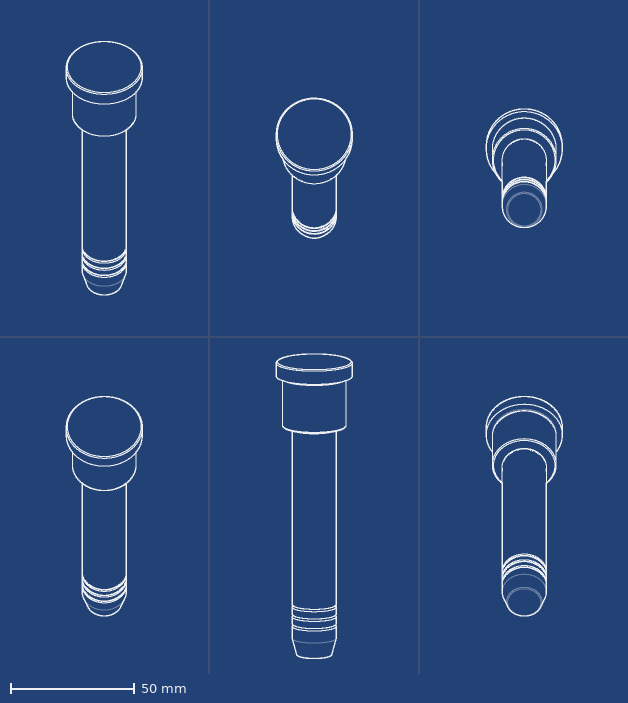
import cadquery as cq
import math

total_length = 122.0
head_diameter = 31.0
head_height = 6.0
collar_diameter = 26.0
collar_length = 21.0
shank_diameter = 18.0

head_chamfer = 0.5
collar_chamfer = 0.5
tip_fillet = 0.5

shank_relief_width = 1.0
shank_relief_depth = 0.5

groove_radius = 0.5
groove_count = 3
groove_pitch = 4.0
lowest_groove_above_taper = 5.5

taper_length = 7.0
taper_angle = 15.0

tip_z = head_height - total_length
taper_top_z = tip_z + taper_length
collar_bottom_z = -collar_length
tip_diameter = shank_diameter - 2 * taper_length * math.tan(math.radians(taper_angle))


def cylinder(diameter, bottom_z, top_z):
    """Solid cylinder on the Z axis between two heights."""
    return cq.Workplane("XY").workplane(offset=bottom_z).circle(diameter / 2).extrude(top_z - bottom_z)


def round_groove(diameter, center_z):
    """Torus that cuts a half-round groove into a cylinder of the given diameter."""
    section = cq.Workplane("XZ").center(diameter / 2, center_z).circle(groove_radius)
    axis_start = (-diameter / 2, 0)
    axis_end = (-diameter / 2, 1)
    return section.revolve(360, axis_start, axis_end)


def make_head():
    return cylinder(head_diameter, 0, head_height).faces(">Z").edges().chamfer(head_chamfer)


def make_collar():
    collar = cylinder(collar_diameter, collar_bottom_z, 0)
    collar = collar.faces("<Z").edges().chamfer(collar_chamfer)
    return collar.cut(round_groove(collar_diameter, -groove_radius))


def make_shank():
    relief_bottom_z = collar_bottom_z - shank_relief_width
    shank = cylinder(shank_diameter, taper_top_z, relief_bottom_z)
    for index in range(groove_count):
        groove_z = taper_top_z + lowest_groove_above_taper + index * groove_pitch
        shank = shank.cut(round_groove(shank_diameter, groove_z))
    neck = cylinder(shank_diameter - 2 * shank_relief_depth, relief_bottom_z, collar_bottom_z)
    return shank.union(neck)


def make_tip():
    tip = (
        cq.Workplane("XY")
        .workplane(offset=tip_z)
        .circle(tip_diameter / 2)
        .workplane(offset=taper_length)
        .circle(shank_diameter / 2)
        .loft(ruled=True)
    )
    return tip.faces("<Z").edges().fillet(tip_fillet)


result = make_head().union(make_collar()).union(make_shank()).union(make_tip())